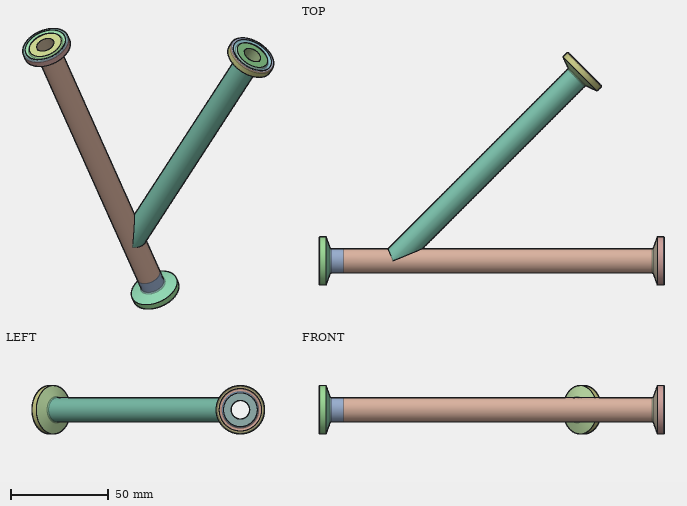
import cadquery as cq
import math

run_length = 177.8
branch_length = 139.8
branch_offset = 38.0
branch_angle = 45.0

tube_diameter = 12.6
bore_diameter = 9.5
tube_radius = tube_diameter / 2
bore_radius = bore_diameter / 2

rim_diameter = 25.0
rim_width = 3.5
rim_rounding = 0.5
rim_radius = rim_diameter / 2
ferrule_length = 12.6

cone_angle = math.radians(20.0)
cone_foot = rim_width + (rim_radius - tube_radius) * math.tan(cone_angle)
foot_rounding = 0.7
foot_tangent = foot_rounding * math.tan((math.pi / 2 - cone_angle) / 2)
cone_tangent_x = cone_foot - foot_tangent * math.sin(cone_angle)
cone_tangent_radius = tube_radius + foot_tangent * math.cos(cone_angle)

groove_diameter = 21.9
groove_outer_radius = groove_diameter / 2
groove_inner_radius = 8.7
groove_depth = 1.0
wall_foot_radius = 9.5
wall_foot_depth = 0.9
groove_floor_radius = (groove_outer_radius + wall_foot_radius) / 2

start_x = -run_length / 2
crossing_x = start_x + branch_offset


def rod(radius, length):
    """Solid cylinder from the origin along +X."""
    return cq.Workplane("YZ").circle(radius).extrude(length)


def ferrule():
    """Ferrule without its bore: end face on the YZ plane, body along +X."""
    profile = (
        cq.Workplane("XY")
        .lineTo(0, groove_inner_radius)
        .lineTo(wall_foot_depth, wall_foot_radius)
        .threePointArc((groove_depth, groove_floor_radius), (0, groove_outer_radius))
        .lineTo(0, rim_radius - rim_rounding)
        .radiusArc((rim_rounding, rim_radius), rim_rounding)
        .lineTo(rim_width, rim_radius)
        .lineTo(cone_tangent_x, cone_tangent_radius)
        .radiusArc((cone_foot + foot_tangent, tube_radius), -foot_rounding)
        .lineTo(ferrule_length, tube_radius)
        .lineTo(ferrule_length, 0)
        .close()
    )
    return profile.revolve(360, (0, 0, 0), (1, 0, 0))


def far_ferrule(distance):
    """Ferrule whose end face looks along +X at the given distance from the origin."""
    return ferrule().mirror("YZ").translate((distance, 0, 0))


def capped_tube(length):
    """Solid tube from the origin along +X with a ferrule at its far end."""
    return rod(tube_radius, length - ferrule_length).union(far_ferrule(length))


def to_branch_axis(body):
    """Move a body that lies along +X from the origin onto the branch axis."""
    return body.rotate((0, 0, 0), (0, 0, 1), branch_angle).translate((crossing_x, 0, 0))


near_tube = rod(tube_radius, branch_offset - ferrule_length).translate((start_x + ferrule_length, 0, 0))
far_tube = capped_tube(run_length - branch_offset).translate((crossing_x, 0, 0))
near_ferrule = ferrule().translate((start_x, 0, 0))
run = near_tube.union(far_tube).union(near_ferrule)

branch = to_branch_axis(capped_tube(branch_length))

run_bore = rod(bore_radius, run_length).translate((start_x, 0, 0))
branch_bore = to_branch_axis(rod(bore_radius, branch_length))

result = run.union(branch).cut(run_bore).cut(branch_bore)